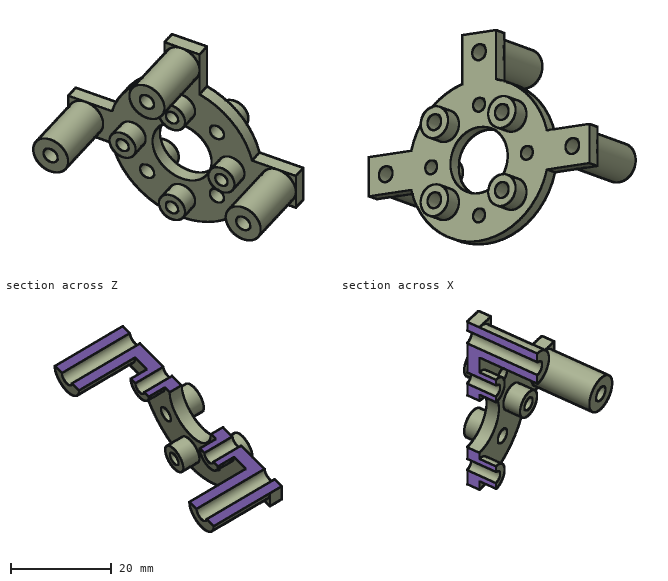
import cadquery as cq

plate_thickness = 3.0
disc_diameter = 33.0
bore_diameter = 13.45
arm_reach = 26.0
arm_width = 8.0

post_diameter = arm_width
post_length = 14.0
post_hole_diameter = 3.2
post_offset = arm_reach - post_diameter / 2
post_centers = [(-post_offset, 0), (post_offset, 0), (0, post_offset)]

boss_length = 4.0
front_boss_diameter = 6.0
front_boss_hole_diameter = 2.8
front_boss_offset = 11.3
front_boss_centers = [
    (-front_boss_offset, 0),
    (front_boss_offset, 0),
    (0, -front_boss_offset),
    (0, front_boss_offset),
]

back_boss_diameter = 6.45
back_boss_hole_diameter = 3.2
back_boss_offset = 7.95
back_boss_centers = [
    (x_side * back_boss_offset, z_side * back_boss_offset)
    for x_side in (-1, 1)
    for z_side in (-1, 1)
]


def xz_plane(y):
    """Sketch plane facing -Y, with its axes along X and Z."""
    return cq.Workplane("XZ", origin=(0, y, 0))


def cylinders(centers, diameter, back_y, front_y):
    """Cylinders at (X, Z) centers running from back_y forward to front_y."""
    return xz_plane(back_y).pushPoints(centers).circle(diameter / 2).extrude(back_y - front_y)


def make_plate():
    disc = cylinders([(0, 0)], disc_diameter, plate_thickness, 0)
    cross_arm = xz_plane(plate_thickness).rect(2 * arm_reach, arm_width).extrude(plate_thickness)
    upper_arm = (
        xz_plane(plate_thickness)
        .center(0, arm_reach / 2)
        .rect(arm_width, arm_reach)
        .extrude(plate_thickness)
    )
    return disc.union(cross_arm).union(upper_arm)


back_y = plate_thickness + boss_length
front_y = -post_length

body = (
    make_plate()
    .union(cylinders(post_centers, post_diameter, plate_thickness, front_y))
    .union(cylinders(front_boss_centers, front_boss_diameter, plate_thickness, -boss_length))
    .union(cylinders(back_boss_centers, back_boss_diameter, back_y, 0))
)

holes = [
    ([(0, 0)], bore_diameter, plate_thickness, 0),
    (post_centers, post_hole_diameter, plate_thickness, front_y),
    (front_boss_centers, front_boss_hole_diameter, plate_thickness, -boss_length),
    (back_boss_centers, back_boss_hole_diameter, back_y, 0),
]
for centers, diameter, hole_back_y, hole_front_y in holes:
    body = body.cut(cylinders(centers, diameter, hole_back_y, hole_front_y))

result = body